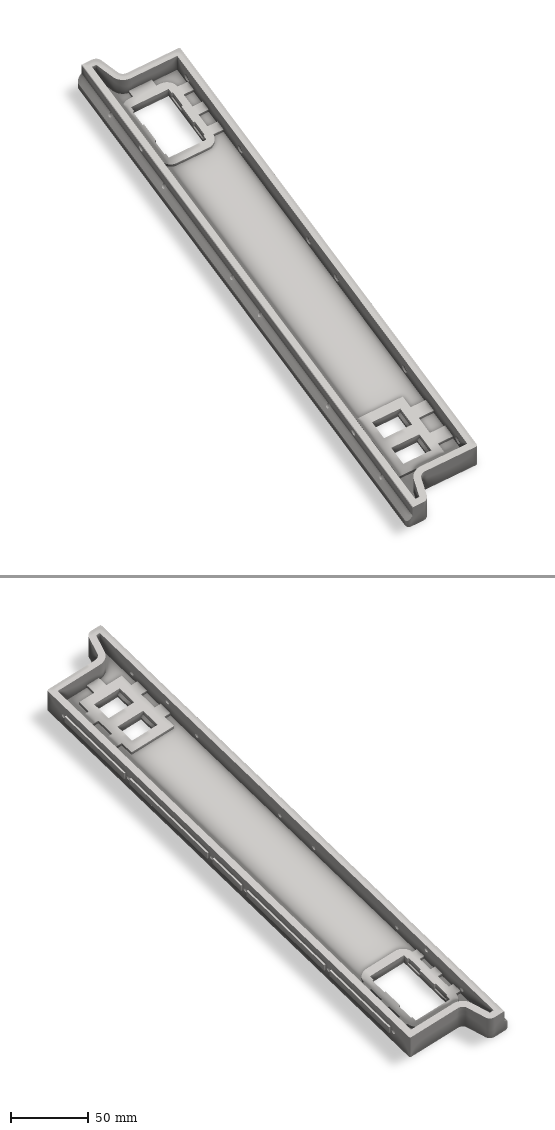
import cadquery as cq
LENGTH = 416.0
HEIGHT = 20.0
WALL = 5.0
FLOOR = 5.0

BODY_LENGTH = 374.5
BODY_BACK_Y = 65.8
WING_TIP_Y = 16.0
WING_ROOT_Y = 22.0
WING_RADIUS = 5.0
FRONT_CORNER_RADIUS = 3.0
BACK_CORNER_RADIUS = 1.2

RAIL_DEPTH = 4.0
RAIL_LOW_Z = 5.5
RAIL_HIGH_Z = 11.0
FRONT_WALL_CHAMFER = 0.5

CABLE_HOLE_XS = (17.5, 103.2, 170.2)
CABLE_HOLE_Z = HEIGHT / 2
CABLE_HOLE_DIAMETER = 3.4
COUNTERBORE_DIAMETER = 6.0
COUNTERBORE_DEPTH = 1.2

STRIP_HEIGHT = 6.0
STRIP_DEPTH = 1.2
STRIP_END_GAP = 3.0

SCREW_HOLE_X = 133.5
SCREW_HOLE_Z = 15.5
SCREW_HOLE_DIAMETER = 3.3
SCREW_HEAD_DIAMETER = 4.5
SCREW_HEAD_DEPTH = WALL / 2

FRAME_RISE = 2.5

LEFT_X = -146.5
LEFT_Y = 33.0
LEFT_FRAME_LENGTH = 60.5
LEFT_FRAME_WIDTH = 40.5
LEFT_FRAME_RADIUS = 8.5
LEFT_TAB_WIDTH = 7.5
LEFT_TAB_PITCH = 18.7
LEFT_SIDE_TAB_WIDTH = 17.5
LEFT_WINDOW_LENGTH = 47.5
LEFT_WINDOW_WIDTH = 28.5
NOTCH_LENGTH = 12.5
NOTCH_DEPTH = 1.0
NOTCH_PITCH = 27.5
NOTCH_BOTTOM_Z = 2.5

RIGHT_X = 147.5
RIGHT_Y = 31.5
RIGHT_FRAME_LENGTH = 54.0
RIGHT_FRAME_WIDTH = 35.5
RIGHT_TAB_WIDTH = 10.0
RIGHT_PITCH = 24.0
RIGHT_WINDOW_LENGTH = 15.0
RIGHT_WINDOW_BACK_Y = 43.0
RIGHT_WINDOW_FRONT_Y = 21.5
RIGHT_WINDOW_SLOPE = 1.5
RIGHT_WINDOW_SLOPE_TOP_Z = 3.7

FRAME_TOP = FLOOR + FRAME_RISE
FRONT_WALL_INNER_Y = RAIL_DEPTH + WALL
BACK_WALL_INNER_Y = BODY_BACK_Y - WALL
CLEARANCE = 4.0


def block(x_min, x_max, y_min, y_max, z_min, z_max):
    """Box between the given limits."""
    size = (x_max - x_min, y_max - y_min, z_max - z_min)
    return cq.Workplane("XY").box(*size, centered=False).translate((x_min, y_min, z_min))


def centered_block(x, y, length, width, z_min, z_max):
    """Box centred on (x, y) in plan."""
    return block(x - length / 2, x + length / 2, y - width / 2, y + width / 2, z_min, z_max)


def cylinder_along_y(x, z, diameter, y_min, y_max):
    """Cylinder with its axis along Y."""
    plane = cq.Plane(origin=(x, y_min, z), xDir=(-1, 0, 0), normal=(0, 1, 0))
    return cq.Workplane(plane).circle(diameter / 2).extrude(y_max - y_min)


def tray_plan(front_y):
    """Prism of the tray plan with its front edge at front_y and its wing corners rounded."""
    tip_x = LENGTH / 2
    root_x = BODY_LENGTH / 2
    right_side = [(tip_x, front_y), (tip_x, WING_TIP_Y), (root_x, WING_ROOT_Y), (root_x, BODY_BACK_Y)]
    left_side = [(-x, y) for x, y in reversed(right_side)]
    prism = cq.Workplane("XY").polyline(right_side + left_side).close().extrude(HEIGHT)
    wing_zone = cq.selectors.BoxSelector(
        (-LENGTH, (front_y + WING_TIP_Y) / 2, 0), (LENGTH, BODY_BACK_Y - WALL, HEIGHT))
    wing_edges = prism.edges("|Z").edges(wing_zone)
    return wing_edges.fillet(WING_RADIUS)


def make_shell():
    """Outside of the tray, with rounded corners at the front and the back."""
    shell = tray_plan(0).edges("|Z and <Y").fillet(FRONT_CORNER_RADIUS)
    return shell.edges("|Z and >Y").fillet(BACK_CORNER_RADIUS)


def make_cavity():
    """Space above the floor, one wall thickness inside the front wall, ends and back."""
    wall_outline = tray_plan(RAIL_DEPTH).faces("<Z").wires().val()
    inner_outline = wall_outline.offset2D(-WALL, "intersection")[0]
    depth = cq.Vector(0, 0, HEIGHT - FLOOR)
    cavity = cq.Solid.extrudeLinear(inner_outline, [], depth)
    return cq.Workplane("XY").newObject([cavity.translate(cq.Vector(0, 0, FLOOR))])


def make_rail_cut():
    """Space above the front rail, cut along the whole length."""
    section = [
        (-CLEARANCE, RAIL_LOW_Z),
        (0, RAIL_LOW_Z),
        (RAIL_DEPTH, RAIL_HIGH_Z),
        (RAIL_DEPTH, HEIGHT - FRONT_WALL_CHAMFER),
        (RAIL_DEPTH + FRONT_WALL_CHAMFER, HEIGHT),
        (-CLEARANCE, HEIGHT),
    ]
    return cq.Workplane("YZ").polyline(section).close().extrude(LENGTH, both=True)


def cross_tab(x, width):
    """Raised bar from the front wall to the back wall."""
    return block(x - width / 2, x + width / 2, FRONT_WALL_INNER_Y, BACK_WALL_INNER_Y, FLOOR, FRAME_TOP)


def make_left_frame():
    frame = centered_block(LEFT_X, LEFT_Y, LEFT_FRAME_LENGTH, LEFT_FRAME_WIDTH, FLOOR, FRAME_TOP)
    frame = frame.edges("|Z").fillet(LEFT_FRAME_RADIUS)
    for step in (-1, 0, 1):
        frame = frame.union(cross_tab(LEFT_X + step * LEFT_TAB_PITCH, LEFT_TAB_WIDTH))
    half_tab = LEFT_SIDE_TAB_WIDTH / 2
    wall_x = WALL - BODY_LENGTH / 2
    return frame.union(block(wall_x, LEFT_X, LEFT_Y - half_tab, LEFT_Y + half_tab, FLOOR, FRAME_TOP))


def make_right_frame():
    frame = centered_block(RIGHT_X, RIGHT_Y, RIGHT_FRAME_LENGTH, RIGHT_FRAME_WIDTH, FLOOR, FRAME_TOP)
    for step in (-0.5, 0.5):
        frame = frame.union(cross_tab(RIGHT_X + step * RIGHT_PITCH, RIGHT_TAB_WIDTH))
    half_tab = RIGHT_TAB_WIDTH / 2
    wall_x = BODY_LENGTH / 2 - WALL
    return frame.union(block(RIGHT_X, wall_x, RIGHT_Y - half_tab, RIGHT_Y + half_tab, FLOOR, FRAME_TOP))


def make_left_window():
    """Through window, with two notches in each long side that stop above the underside."""
    window = centered_block(
        LEFT_X, LEFT_Y, LEFT_WINDOW_LENGTH, LEFT_WINDOW_WIDTH, -CLEARANCE, FRAME_TOP + CLEARANCE)
    notched_width = LEFT_WINDOW_WIDTH + 2 * NOTCH_DEPTH
    for step in (-0.5, 0.5):
        notch_x = LEFT_X + step * NOTCH_PITCH
        window = window.union(centered_block(
            notch_x, LEFT_Y, NOTCH_LENGTH, notched_width, NOTCH_BOTTOM_Z, FRAME_TOP + CLEARANCE))
    return window


def make_right_window(x):
    """Through window with a sloped step at its front and back, narrower below."""
    narrow_front_y = RIGHT_WINDOW_FRONT_Y + RIGHT_WINDOW_SLOPE
    narrow_back_y = RIGHT_WINDOW_BACK_Y - RIGHT_WINDOW_SLOPE
    slope_bottom_z = RIGHT_WINDOW_SLOPE_TOP_Z - RIGHT_WINDOW_SLOPE
    section = [
        (RIGHT_WINDOW_FRONT_Y, FRAME_TOP),
        (RIGHT_WINDOW_FRONT_Y, RIGHT_WINDOW_SLOPE_TOP_Z),
        (narrow_front_y, slope_bottom_z),
        (narrow_front_y, 0),
        (narrow_back_y, 0),
        (narrow_back_y, slope_bottom_z),
        (RIGHT_WINDOW_BACK_Y, RIGHT_WINDOW_SLOPE_TOP_Z),
        (RIGHT_WINDOW_BACK_Y, FRAME_TOP),
    ]
    plane = cq.Workplane("YZ", origin=(x - RIGHT_WINDOW_LENGTH / 2, 0, 0))
    return plane.polyline(section).close().extrude(RIGHT_WINDOW_LENGTH)


def make_strips():
    """Raised strips on the back face, one between each two neighbouring cable holes."""
    hole_xs = sorted([-x for x in CABLE_HOLE_XS] + list(CABLE_HOLE_XS))
    z_min = CABLE_HOLE_Z - STRIP_HEIGHT / 2
    z_max = CABLE_HOLE_Z + STRIP_HEIGHT / 2
    strips = []
    for start, end in zip(hole_xs, hole_xs[1:]):
        strips.append(block(
            start + STRIP_END_GAP, end - STRIP_END_GAP,
            BACK_WALL_INNER_Y, BODY_BACK_Y + STRIP_DEPTH, z_min, z_max))
    return strips


def cut_wall_holes(body):
    """Cable holes through the front and back walls, and counterbored screw holes in the front wall."""
    for side in (-1, 1):
        for hole_x in CABLE_HOLE_XS:
            x = side * hole_x
            body = body.cut(cylinder_along_y(
                x, CABLE_HOLE_Z, CABLE_HOLE_DIAMETER, -CLEARANCE, BODY_BACK_Y + CLEARANCE))
            body = body.cut(cylinder_along_y(
                x, CABLE_HOLE_Z, COUNTERBORE_DIAMETER,
                BACK_WALL_INNER_Y - CLEARANCE, BACK_WALL_INNER_Y + COUNTERBORE_DEPTH))
        body = body.cut(cylinder_along_y(
            side * SCREW_HOLE_X, SCREW_HOLE_Z, SCREW_HOLE_DIAMETER, 0, FRONT_WALL_INNER_Y + CLEARANCE))
        body = body.cut(cylinder_along_y(
            side * SCREW_HOLE_X, SCREW_HOLE_Z, SCREW_HEAD_DIAMETER, 0, RAIL_DEPTH + SCREW_HEAD_DEPTH))
    return body


def make_tray():
    tray = make_shell().cut(make_rail_cut()).cut(make_cavity())
    tray = tray.union(make_left_frame()).union(make_right_frame())
    for strip in make_strips():
        tray = tray.union(strip)
    tray = tray.cut(make_left_window())
    for step in (-0.5, 0.5):
        tray = tray.cut(make_right_window(RIGHT_X + step * RIGHT_PITCH))
    return cut_wall_holes(tray)


tray = make_tray()

result = cq.Compound.makeCompound([tray.val()])